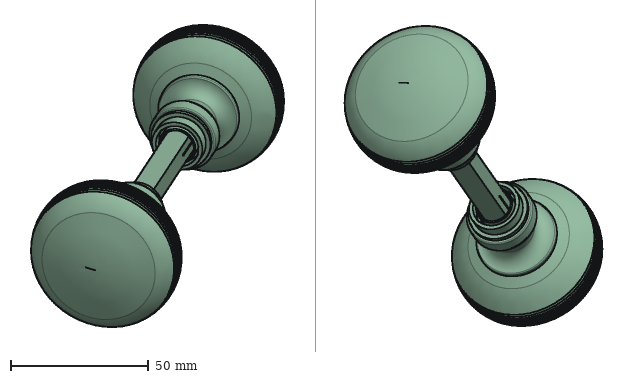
import cadquery as cq
import math

TIP_Y = 82.6

DOME_DEPTH = 4.0
DOME_EDGE_RADIUS = 21.5
DOME_MID_DEPTH = 1.0
FRONT_SIDE_MID = (24.5, 6.0)
BAND_START = 9.5
BAND_END = 19.7
BACK_SIDE_MID = (24.1, 22.8)
BACK_EDGE_RADIUS = 19.3
BACK_EDGE_DEPTH = 25.6
HEAD_END = 27.1

GROOVE_COUNT = 8
GROOVE_DEPTH = 0.5
HEAD_RADIUS = 28.0
BAND_CROWN_RADIUS = 18.8

FLANGE_RADIUS = 15.2
FLANGE_END = 29.0
EDGE_ROUND = 0.5
HOLLOW_FRONT_MID = (10.4, 30.5)
WAIST_RADIUS = 8.8
WAIST_DEPTH = 34.5
HOLLOW_BACK_MID = (9.9, 39.6)
COLLAR_RADIUS = 12.5
COLLAR_START = 44.1
COLLAR_END = 50.0
STEP_RADIUS = 11.2
STEP_END = 51.7
SPIGOT_RADIUS = 9.5
SPIGOT_BORE_RADIUS = 8.1
NECK_END = 56.5

SLEEVE_RADIUS = 7.0
SLEEVE_BORE_RADIUS = 6.3
SOCKET_DEPTH = COLLAR_START
SPINDLE_WIDTH = 8.5
SLIT_WIDTH = 0.7
SLIT_END = 63.1


def at(radius, depth):
    """Profile point at a radius and a depth below the knob tip."""
    return (radius, TIP_Y - depth)


def band_radius(depth):
    """Radius of the crowned band surface through the groove crests."""
    offset = depth - (BAND_START + BAND_END) / 2
    drop = BAND_CROWN_RADIUS - math.sqrt(BAND_CROWN_RADIUS**2 - offset**2)
    return HEAD_RADIUS - drop


def revolve(profile):
    return profile.close().revolve(360, (0, 0, 0), (0, 1, 0))


def make_head():
    """Rounded knob head with a band of V-grooves around its rim."""
    profile = (
        cq.Workplane("XY")
        .moveTo(*at(0, 0))
        .threePointArc(at(DOME_EDGE_RADIUS / 2, DOME_MID_DEPTH), at(DOME_EDGE_RADIUS, DOME_DEPTH))
        .threePointArc(at(*FRONT_SIDE_MID), at(band_radius(BAND_START), BAND_START))
    )
    pitch = (BAND_END - BAND_START) / GROOVE_COUNT
    for i in range(GROOVE_COUNT):
        middle = BAND_START + (i + 0.5) * pitch
        end = BAND_START + (i + 1) * pitch
        profile = profile.lineTo(*at(band_radius(middle) - GROOVE_DEPTH, middle))
        profile = profile.lineTo(*at(band_radius(end), end))
    profile = (
        profile.threePointArc(at(*BACK_SIDE_MID), at(BACK_EDGE_RADIUS, BACK_EDGE_DEPTH))
        .lineTo(*at(FLANGE_RADIUS, HEAD_END))
        .lineTo(*at(0, HEAD_END))
    )
    return revolve(profile)


def make_neck():
    """Waisted neck with a flange, a collar and a bored spigot."""
    profile = (
        cq.Workplane("XY")
        .moveTo(*at(0, HEAD_END))
        .lineTo(*at(FLANGE_RADIUS, HEAD_END))
        .lineTo(*at(FLANGE_RADIUS, FLANGE_END - EDGE_ROUND))
        .radiusArc(at(FLANGE_RADIUS - EDGE_ROUND, FLANGE_END), EDGE_ROUND)
        .threePointArc(at(*HOLLOW_FRONT_MID), at(WAIST_RADIUS, WAIST_DEPTH))
        .threePointArc(at(*HOLLOW_BACK_MID), at(COLLAR_RADIUS, COLLAR_START))
        .lineTo(*at(COLLAR_RADIUS, COLLAR_END - EDGE_ROUND))
        .radiusArc(at(COLLAR_RADIUS - EDGE_ROUND, COLLAR_END), EDGE_ROUND)
        .lineTo(*at(STEP_RADIUS, COLLAR_END))
        .lineTo(*at(STEP_RADIUS, STEP_END))
        .lineTo(*at(SPIGOT_RADIUS, STEP_END))
        .lineTo(*at(SPIGOT_RADIUS, NECK_END))
        .lineTo(*at(SPIGOT_BORE_RADIUS, NECK_END))
        .lineTo(*at(SPIGOT_BORE_RADIUS, STEP_END))
        .lineTo(*at(SLEEVE_RADIUS, STEP_END))
        .lineTo(*at(SLEEVE_RADIUS, SOCKET_DEPTH))
        .lineTo(*at(0, SOCKET_DEPTH))
    )
    return revolve(profile)


def make_sleeve():
    """Round sleeve between the neck and the spindle, flush with the spigot end."""
    profile = (
        cq.Workplane("XY")
        .moveTo(*at(SLEEVE_BORE_RADIUS, SOCKET_DEPTH))
        .lineTo(*at(SLEEVE_RADIUS, SOCKET_DEPTH))
        .lineTo(*at(SLEEVE_RADIUS, NECK_END))
        .lineTo(*at(SLEEVE_BORE_RADIUS, NECK_END))
    )
    return revolve(profile)


def make_spindle():
    """Square bar with a slit sawn through each end along X."""
    length = 2 * (TIP_Y - SOCKET_DEPTH)
    slit_length = SLIT_END - SOCKET_DEPTH
    slit_y = TIP_Y - (SLIT_END + SOCKET_DEPTH) / 2
    slits = (
        cq.Workplane("XY")
        .pushPoints([(0, slit_y), (0, -slit_y)])
        .box(SPINDLE_WIDTH, slit_length, SLIT_WIDTH)
    )
    return cq.Workplane("XY").box(SPINDLE_WIDTH, length, SPINDLE_WIDTH).cut(slits)


bodies = [make_spindle().val()]
for turn in (0, 180):
    for make_body in (make_head, make_neck, make_sleeve):
        body = make_body().rotate((0, 0, 0), (0, 0, 1), turn)
        bodies.append(body.val())

result = cq.Compound.makeCompound(bodies)